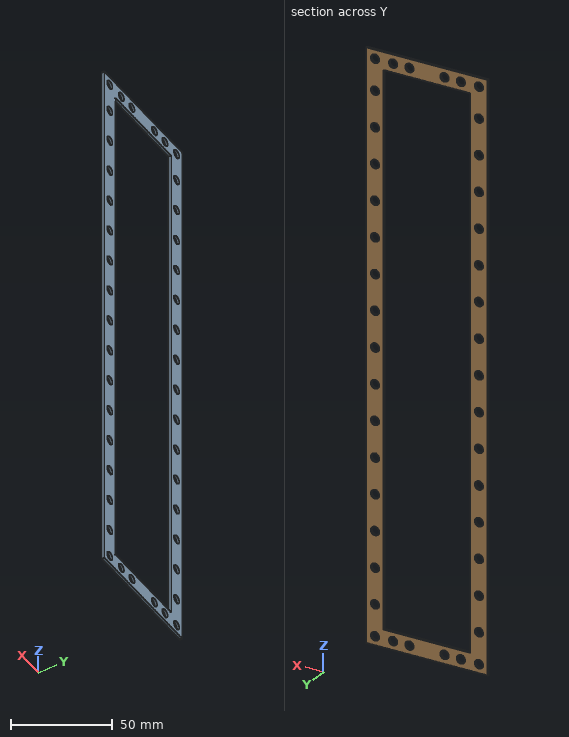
import cadquery as cq

width = 70.0
height = 325.0
thickness = 1.5
border = 10.0

hole_diameter = 4.5
column_x = (width - border) / 2
end_row_z = (height - border) / 2

side_hole_count = 15
side_hole_span = 280.0
side_pitch = side_hole_span / (side_hole_count - 1)

inner_hole_x = 10.0
middle_hole_x = 19.5
end_hole_xs = (inner_hole_x, middle_hole_x, column_x)


def hole_centres():
    centres = []
    for side in (-1, 1):
        for row in range(side_hole_count):
            centres.append((side * column_x, row * side_pitch - side_hole_span / 2))
        for end in (-1, 1):
            for x in end_hole_xs:
                centres.append((side * x, end * end_row_z))
    return centres


def make_frame():
    plate = cq.Workplane("XZ").rect(width, height)
    frame = plate.rect(width - 2 * border, height - 2 * border)
    return frame.extrude(thickness / 2, both=True)


def make_hole_cutters():
    holes = cq.Workplane("XZ").pushPoints(hole_centres())
    return holes.circle(hole_diameter / 2).extrude(thickness, both=True)


result = make_frame().cut(make_hole_cutters())